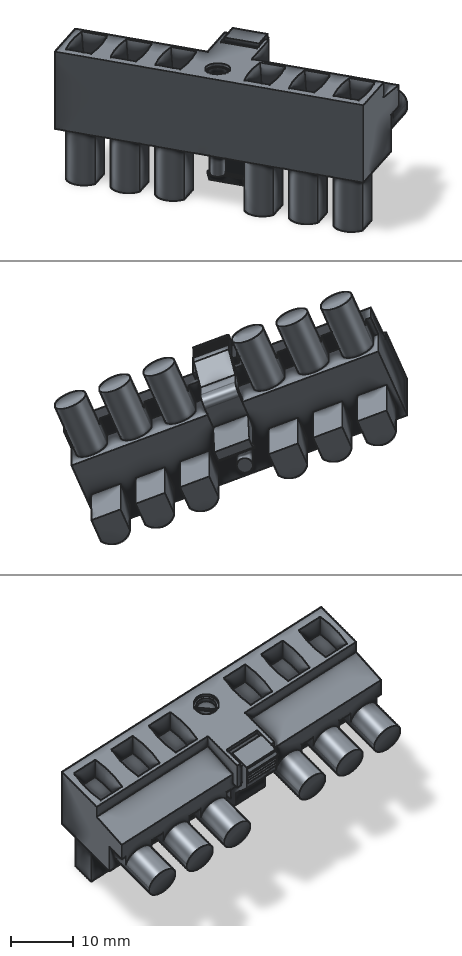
import cadquery as cq
import math


LENGTH = 52.7
HEIGHT = 13.7
TOP_DEPTH = 8.9
REAR_Y = 15.3
LOWER_REAR_Y = 12.1
OVERHANG_Z = 6.5
LEDGE_FRONT_Z = 11.05
LEDGE_REAR_Z = 10.3

BLOCK_WIDTH = 7.55
BLOCK_REAR_Y = 16.4
BLOCK_BOTTOM_Z = 7.85
POCKET_WIDTH = 6.2
POCKET_FRONT_Y = 12.85
POCKET_DEPTH = 0.8

ROW_SPAN = 45.7
PITCH = ROW_SPAN / 6
POLE_XS = [i * PITCH for i in (-3, -2, -1, 1, 2, 3)]

FUNNEL_FRONT_Y = 1.4
FUNNEL_REAR_Y = 8.3
FUNNEL_END_WIDTH = 4.3
FUNNEL_MIDDLE_WIDTH = 4.95
FUNNEL_DEPTH = 3.5
FUNNEL_INSET = 0.65

PILLAR_WIDTH = 5.0
PILLAR_FRONT_Y = 0.85
PILLAR_ARC_END_Y = 2.2
PILLAR_REAR_Y = 6.2
PILLAR_LENGTH = 9.7

TOWER_RADIUS = 2.7
TOWER_WIDTH = 5.25
TOWER_REAR_Y = 21.25
TOWER_Z = OVERHANG_Z - TOWER_RADIUS

SCREW_Y = 3.75
SCREW_HEAD_RADIUS = 1.65
SCREW_HEAD_HEIGHT = 2.1
SCREW_SHAFT_RADIUS = 1.25
SCREW_TIP_Z = -4.8
SCREW_RECESS = 1.5
SCREW_HEAD_TOP_Z = HEIGHT - SCREW_RECESS
SCREW_HEAD_BOTTOM_Z = SCREW_HEAD_TOP_Z - SCREW_HEAD_HEIGHT
SLOT_WIDTH = 0.6
SLOT_DEPTH = 0.55
SLOT_ANGLE = -45
COUNTERBORE_RADIUS = 2.0
COUNTERBORE_DEPTH = 0.6

LATCH_WIDTH = 5.95
LATCH_TOP_Z = 13.95
CAP_FRONT_Y = 14.15
CAP_BOTTOM_Z = 13.0
ARM_REAR_Y = 17.8
ARM_THICKNESS = 1.3
ARM_BEND_Z = 8.55
INNER_BEND_Z = 8.65
BEND_SLOPE = 1.5
SPINE_REAR_Y = 15.1
SPINE_RADIUS = 1.8
FINGER_REAR_Y = 9.75
FINGER_TIP_REAR_Y = 9.2
FINGER_FRONT_Y = 7.65
FINGER_BOTTOM_Z = -8.3
HOOK_TIP_Y = 6.8
HOOK_ROOT_Z = -6.55
HOOK_TIP_TOP_Z = -6.4
HOOK_TIP_BOTTOM_Z = -6.7
TOOTH_COUNT = 5
TOOTH_PITCH = 0.7
TOOTH_HEIGHT = 0.5
TOP_TOOTH_DEPTH = 0.55
TOOTH_DEPTH = 0.35
FIRST_TOOTH_Z = 13.0


def side_profile(points, width):
    """Extrudes a closed (Y, Z) outline along X, centred on X = 0."""
    return cq.Workplane("YZ").polyline(points).close().extrude(width / 2, both=True)


def block(width, y0, y1, z0, z1):
    """A box centred on X = 0."""
    box = cq.Workplane("XY").box(width, y1 - y0, z1 - z0, centered=(True, False, False))
    return box.translate((0, y0, z0))


def tower():
    """Round rear bar with flat sides, squared off on top where it runs under the overhang."""
    length = TOWER_REAR_Y - LOWER_REAR_Y
    bar = cq.Workplane("XZ", origin=(0, LOWER_REAR_Y, TOWER_Z)).circle(TOWER_RADIUS).extrude(-length)
    bar = bar.intersect(block(TOWER_WIDTH, LOWER_REAR_Y, TOWER_REAR_Y, 0, OVERHANG_Z))
    return bar.union(block(TOWER_WIDTH, LOWER_REAR_Y, REAR_Y, TOWER_Z, OVERHANG_Z))


def pillar():
    """Contact pillar with flat sides and a rounded front."""
    half = PILLAR_WIDTH / 2
    return (
        cq.Workplane("XY")
        .moveTo(-half, PILLAR_REAR_Y)
        .lineTo(-half, PILLAR_ARC_END_Y)
        .threePointArc((0, PILLAR_FRONT_Y), (half, PILLAR_ARC_END_Y))
        .lineTo(half, PILLAR_REAR_Y)
        .close()
        .extrude(-PILLAR_LENGTH)
    )


def funnel():
    """Blind tapered wire entry with bowed sides, cut down from the housing top."""
    end = FUNNEL_END_WIDTH / 2
    middle = FUNNEL_MIDDLE_WIDTH / 2
    middle_y = (FUNNEL_FRONT_Y + FUNNEL_REAR_Y) / 2
    taper = math.degrees(math.atan(FUNNEL_INSET / FUNNEL_DEPTH))
    return (
        cq.Workplane("XY", origin=(0, 0, HEIGHT))
        .moveTo(-end, FUNNEL_FRONT_Y)
        .lineTo(end, FUNNEL_FRONT_Y)
        .threePointArc((middle, middle_y), (end, FUNNEL_REAR_Y))
        .lineTo(-end, FUNNEL_REAR_Y)
        .threePointArc((-middle, middle_y), (-end, FUNNEL_FRONT_Y))
        .close()
        .extrude(-FUNNEL_DEPTH, taper=taper)
    )


def cylinder(radius, z0, z1):
    """A cylinder on the screw axis."""
    return cq.Workplane("XY", origin=(0, SCREW_Y, z0)).circle(radius).extrude(z1 - z0)


def make_screw():
    """Slotted flange screw."""
    screw = cylinder(SCREW_HEAD_RADIUS, SCREW_HEAD_BOTTOM_Z, SCREW_HEAD_TOP_Z)
    screw = screw.union(cylinder(SCREW_SHAFT_RADIUS, SCREW_TIP_Z, SCREW_HEAD_BOTTOM_Z))
    slot = (
        cq.Workplane("XY")
        .box(3 * SCREW_HEAD_RADIUS, SLOT_WIDTH, 2 * SLOT_DEPTH)
        .rotate((0, 0, 0), (0, 0, 1), SLOT_ANGLE)
        .translate((0, SCREW_Y, SCREW_HEAD_TOP_Z))
    )
    return screw.cut(slot)


def screw_hole():
    """Stepped hole that fits the screw, with a counterbore above its head."""
    hole = cylinder(SCREW_SHAFT_RADIUS, 0, SCREW_HEAD_BOTTOM_Z)
    hole = hole.union(cylinder(SCREW_HEAD_RADIUS, SCREW_HEAD_BOTTOM_Z, HEIGHT))
    return hole.union(cylinder(COUNTERBORE_RADIUS, HEIGHT - COUNTERBORE_DEPTH, HEIGHT))


def make_latch():
    """Latch: cap and toothed arm at the rear, spine through the housing, hooked finger below."""
    arm_front_y = ARM_REAR_Y - ARM_THICKNESS
    spine_front_y = SPINE_REAR_Y - ARM_THICKNESS
    bend_drop = BEND_SLOPE * (ARM_REAR_Y - SPINE_REAR_Y)
    inner_radius = SPINE_RADIUS - ARM_THICKNESS
    diagonal = math.sqrt(0.5)
    centre_y = SPINE_REAR_Y - SPINE_RADIUS
    body = (
        cq.Workplane("YZ")
        .moveTo(CAP_FRONT_Y, LATCH_TOP_Z)
        .lineTo(ARM_REAR_Y, LATCH_TOP_Z)
        .lineTo(ARM_REAR_Y, ARM_BEND_Z)
        .lineTo(SPINE_REAR_Y, ARM_BEND_Z - bend_drop)
        .lineTo(SPINE_REAR_Y, SPINE_RADIUS)
        .threePointArc(
            (centre_y + diagonal * SPINE_RADIUS, SPINE_RADIUS - diagonal * SPINE_RADIUS),
            (centre_y, 0),
        )
        .lineTo(FINGER_REAR_Y, 0)
        .lineTo(FINGER_TIP_REAR_Y, FINGER_BOTTOM_Z)
        .lineTo(FINGER_FRONT_Y, FINGER_BOTTOM_Z)
        .lineTo(HOOK_TIP_Y, HOOK_TIP_BOTTOM_Z)
        .lineTo(HOOK_TIP_Y, HOOK_TIP_TOP_Z)
        .lineTo(FINGER_FRONT_Y, HOOK_ROOT_Z)
        .lineTo(FINGER_FRONT_Y, ARM_THICKNESS)
        .lineTo(centre_y, ARM_THICKNESS)
        .threePointArc(
            (centre_y + diagonal * inner_radius, SPINE_RADIUS - diagonal * inner_radius),
            (spine_front_y, SPINE_RADIUS),
        )
        .lineTo(spine_front_y, INNER_BEND_Z - bend_drop)
        .lineTo(arm_front_y, INNER_BEND_Z)
        .lineTo(arm_front_y, CAP_BOTTOM_Z)
        .lineTo(CAP_FRONT_Y, CAP_BOTTOM_Z)
        .close()
        .extrude(LATCH_WIDTH / 2, both=True)
    )
    for i in range(TOOTH_COUNT):
        depth = TOP_TOOTH_DEPTH if i == 0 else TOOTH_DEPTH
        edge_z = FIRST_TOOTH_Z - i * TOOTH_PITCH
        tooth = [
            (ARM_REAR_Y, edge_z),
            (ARM_REAR_Y + depth, edge_z),
            (ARM_REAR_Y, edge_z + TOOTH_HEIGHT),
        ]
        body = body.union(side_profile(tooth, LATCH_WIDTH))
    return body


def make_housing(latch):
    """Housing with its towers, pillars and funnels, and recesses that fit the screw and the latch."""
    housing = side_profile(
        [
            (0, 0),
            (LOWER_REAR_Y, 0),
            (LOWER_REAR_Y, OVERHANG_Z),
            (REAR_Y, OVERHANG_Z),
            (REAR_Y, LEDGE_REAR_Z),
            (TOP_DEPTH, LEDGE_FRONT_Z),
            (TOP_DEPTH, HEIGHT),
            (0, HEIGHT),
        ],
        LENGTH,
    )
    housing = housing.union(block(BLOCK_WIDTH, TOP_DEPTH, BLOCK_REAR_Y, BLOCK_BOTTOM_Z, HEIGHT))
    housing = housing.cut(block(POCKET_WIDTH, POCKET_FRONT_Y, BLOCK_REAR_Y, HEIGHT - POCKET_DEPTH, HEIGHT))
    for x in POLE_XS:
        housing = housing.union(pillar().translate((x, 0, 0)))
        housing = housing.union(tower().translate((x, 0, 0)))
        housing = housing.cut(funnel().translate((x, 0, 0)))
    return housing.cut(screw_hole()).cut(latch)


latch = make_latch()
housing = make_housing(latch)
screw = make_screw()

result = cq.Compound.makeCompound([housing.val(), latch.val(), screw.val()])